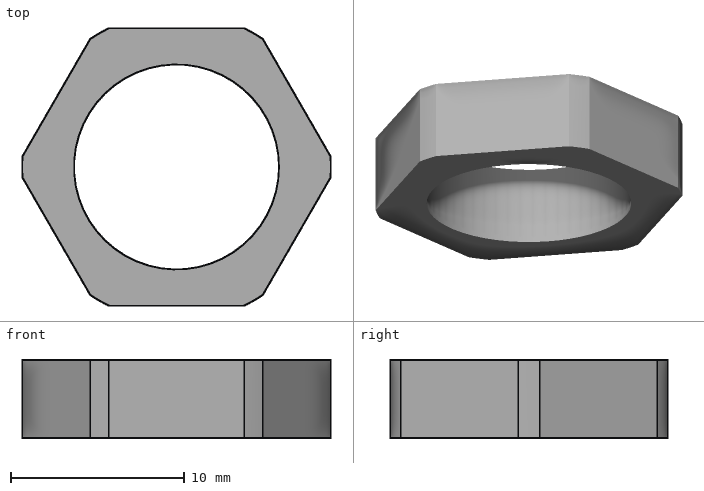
import cadquery as cq
import math

across_flats = 16.0
corner_diameter = 17.8
bore_diameter = 11.8
thickness = 4.5

hexagon_sides = 6
across_corners = across_flats / math.cos(math.pi / hexagon_sides)


def hexagon_body():
    """Sharp hexagonal prism with two flats facing +Y and -Y."""
    return cq.Workplane("XY").polygon(hexagon_sides, across_corners).extrude(thickness)


def turned_ring():
    """Round blank that limits the corners, with the plain through bore."""
    return (
        cq.Workplane("XY")
        .circle(corner_diameter / 2)
        .circle(bore_diameter / 2)
        .extrude(thickness)
    )


result = hexagon_body().intersect(turned_ring())